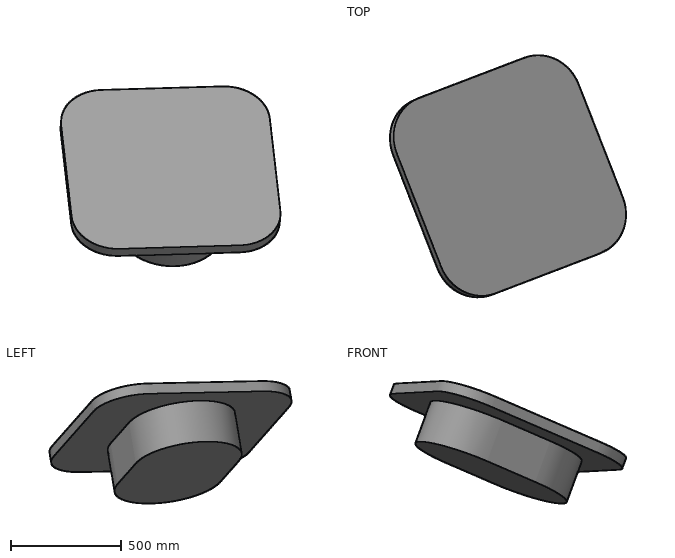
import cadquery as cq

corner_radius = 200.0
edge_straight = 550.0
plate_side = edge_straight + 2 * corner_radius
plate_thickness = 50.0

boss_radius = 250.0
boss_straight = 250.0
boss_length = boss_straight + 2 * boss_radius
boss_height = 200.0

turn_z = 22.8
tilt_y = 20
tilt_x = -9.4


def make_plate():
    """Rounded square plate with its underside at Z = 0."""
    plate = cq.Workplane("XY").rect(plate_side, plate_side).extrude(plate_thickness)
    return plate.edges("|Z").fillet(corner_radius)


def make_boss():
    """Slot-shaped boss hanging below the plate, long along local X."""
    return cq.Workplane("XY").slot2D(boss_length, 2 * boss_radius).extrude(-boss_height)


def tilt(body):
    """Bring the level part to its final attitude."""
    origin = (0, 0, 0)
    turned = body.rotate(origin, (0, 0, 1), turn_z)
    tilted = turned.rotate(origin, (0, 1, 0), tilt_y)
    return tilted.rotate(origin, (1, 0, 0), tilt_x)


result = tilt(make_plate().union(make_boss()))